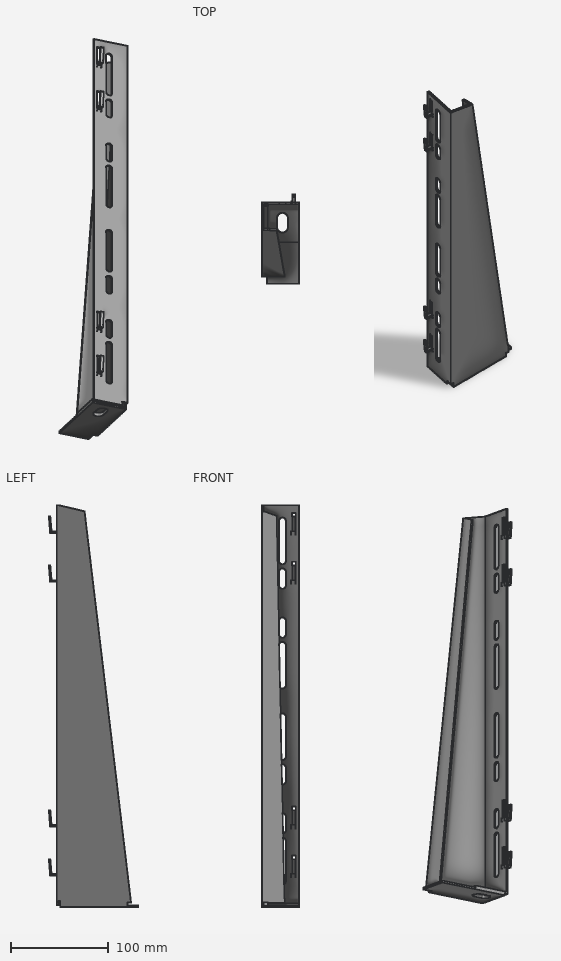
import cadquery as cq
import math

sheet = 2.0
width = 38.05
height = 410.8
hook_reach = 8.0
total_depth = 91.48
floor_depth = total_depth - hook_reach

wall_top_depth = 28.7
wall_top_drop = 6.3
wall_foot_depth = 76.2
flange_foot = 4.5

flange_top_width = 15.0
flange_foot_width = 23.2
flange_top_fall = 4.8

floor_nose_left = 5.0
ledge_depth = 41.0
ledge_left = 6.2
foot_slot_width = 11.0
foot_slot_length = 20.0
foot_slot_y = -21.0

relief_depth = 3.7
relief_height = 6.0

slot_x = 21.0
slot_width = 7.0
long_slot = 47.5
short_slot = 20.5
slot_group_z = (310.6, 110.6)
group_inner_offset = 25.0
group_outer_offset = 63.5

hook_window_tops = (402.6, 352.6, 102.6, 52.6)
hook_left = 30.9
hook_right = 34.6
hook_root_left = 29.9
root_reach = 1.0
window_height = 18.4
slit_width = 0.3
slit_depth = 3.9
leg_height = 14.9
leg_thickness = 1.7
leg_lean = 1.3

wall_top_front_z = height - wall_top_drop
flange_rise = wall_top_front_z - flange_foot
flange_slope = (wall_foot_depth - wall_top_depth) / flange_rise
wall_foot_front_y = -wall_foot_depth + relief_depth
flange_thickness_y = sheet * math.hypot(1.0, flange_slope)


def side_plane_prism(points, x_start, x_end):
    """Extrude a closed (y, z) outline between two X positions."""
    return (
        cq.Workplane("YZ")
        .polyline(points)
        .close()
        .extrude(x_end - x_start)
        .translate((x_start, 0, 0))
    )


def box(x_range, y_range, z_range):
    """Box given by its limits along each axis."""
    size = [high - low for low, high in (x_range, y_range, z_range)]
    return cq.Workplane("XY").box(*size, centered=False).translate((x_range[0], y_range[0], z_range[0]))


def side_wall():
    outline = [
        (0, 0),
        (0, height),
        (-sheet, height),
        (-wall_top_depth, wall_top_front_z),
        (-wall_foot_depth, flange_foot),
        (wall_foot_front_y, flange_foot),
        (wall_foot_front_y, 0),
    ]
    return side_plane_prism(outline, 0, sheet)


def back_plate():
    return box((0, width), (-sheet, 0), (sheet, height))


def front_flange():
    slab = side_plane_prism(
        [
            (-wall_top_depth, wall_top_front_z),
            (-wall_foot_depth, flange_foot),
            (-wall_foot_depth + flange_thickness_y, flange_foot),
            (-wall_top_depth + flange_thickness_y, wall_top_front_z),
        ],
        0,
        flange_foot_width,
    )
    trim = (
        cq.Workplane("XZ")
        .polyline(
            [
                (0, flange_foot),
                (flange_foot_width, flange_foot),
                (flange_top_width, wall_top_front_z - flange_top_fall),
                (sheet, wall_top_front_z),
                (0, wall_top_front_z),
            ]
        )
        .close()
        .extrude(wall_foot_depth)
    )
    return slab.intersect(trim)


def floor_and_ledge():
    """Floor with its nose past the front flange, the ledge resting on it, and their shared slot."""
    floor = box((0, width), (wall_foot_front_y, -relief_depth), (0, sheet))
    nose = box((floor_nose_left, width), (-floor_depth, wall_foot_front_y), (0, sheet))
    ledge = box((ledge_left, width), (-ledge_depth, 0), (sheet, 2 * sheet))
    foot_slot = (
        cq.Workplane("XY")
        .center(slot_x, foot_slot_y)
        .slot2D(foot_slot_length, foot_slot_width, 90)
        .extrude(2 * sheet)
    )
    return floor.union(nose).union(ledge).cut(foot_slot)


def back_slot(length, z_middle):
    return (
        cq.Workplane("XZ")
        .center(slot_x, z_middle)
        .slot2D(length, slot_width, 90)
        .extrude(sheet)
    )


def hook_opening(top):
    """Window above the hook arm, with a slit down each side of the arm's root."""
    arm_top = top - window_height
    opening = box((hook_left, hook_right), (-sheet, 0), (arm_top, top))
    for slit_left in (hook_root_left - slit_width, hook_right - slit_width):
        slit = box((slit_left, slit_left + slit_width), (-sheet, 0), (arm_top - slit_depth, arm_top))
        opening = opening.union(slit)
    return opening


def hook(top):
    """Lanced hook: an arm out of the back plate, wider at its root, and a leaning upright leg."""
    arm_top = top - window_height
    arm_bottom = arm_top - sheet
    leg_foot_y = hook_reach - leg_lean
    arm_and_leg = side_plane_prism(
        [
            (-sheet, arm_bottom),
            (leg_foot_y, arm_bottom),
            (hook_reach, arm_top + leg_height),
            (hook_reach - leg_thickness, arm_top + leg_height),
            (leg_foot_y - leg_thickness, arm_top),
            (-sheet, arm_top),
        ],
        hook_left,
        hook_right - slit_width,
    )
    root = box((hook_root_left, hook_left), (-sheet, root_reach), (arm_bottom, arm_top))
    return arm_and_leg.union(root)


def corner_relief():
    return box((0, ledge_left), (-relief_depth, 0), (0, relief_height))


result = back_plate().union(side_wall()).union(front_flange()).union(floor_and_ledge())
result = result.cut(corner_relief())

for group_z in slot_group_z:
    for side in (-1, 1):
        result = result.cut(back_slot(long_slot, group_z + side * group_outer_offset))
        result = result.cut(back_slot(short_slot, group_z + side * group_inner_offset))

for window_top in hook_window_tops:
    result = result.cut(hook_opening(window_top)).union(hook(window_top))